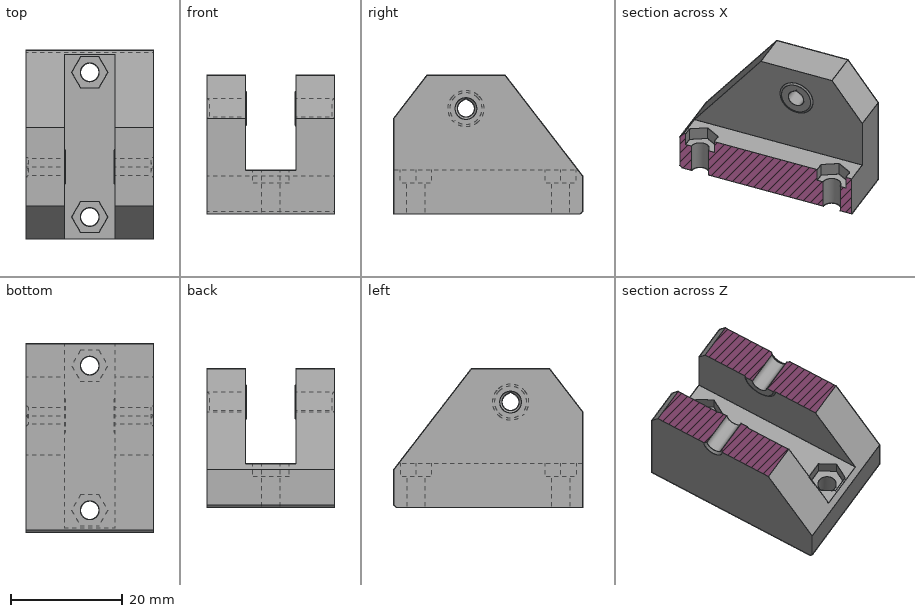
import cadquery as cq
import math

width = 23.0
length = 34.0
height = 25.0

front_run = 6.0
back_run = 13.97
slope_ratio = 1.3
toe_chamfer = 0.48

slot_width = 9.08
floor_height = 7.92

pivot_y = 13.0
pivot_z = 18.97
pivot_diameter = 3.03
pivot_tip_height = 1.77
mouth_diameter = 3.9
boss_base_diameter = 6.5
boss_face_diameter = 5.75
boss_height = 0.2

screw_front_y = 3.98
screw_pitch = 26.0
screw_diameter = 3.3
nut_flats = 5.65
nut_depth = 2.38


def make_body():
    """Side profile extruded across the width."""
    front_height = height - slope_ratio * front_run
    back_height = height - slope_ratio * back_run
    return (
        cq.Workplane("YZ")
        .moveTo(0, 0)
        .lineTo(length - toe_chamfer, 0)
        .lineTo(length, toe_chamfer)
        .lineTo(length, back_height)
        .lineTo(length - back_run, height)
        .lineTo(front_run, height)
        .lineTo(0, front_height)
        .close()
        .extrude(width / 2, both=True)
    )


def make_slot():
    """Full-length slot that leaves a cheek on each side."""
    return cq.Workplane("XY").box(
        slot_width, length, height - floor_height, centered=(True, False, False)
    ).translate((0, 0, floor_height))


def pivot_cone(start_x, direction, start_diameter, end_diameter, depth):
    """Truncated cone on the pivot axis, running along +X or -X."""
    return cq.Workplane(
        cq.Solid.makeCone(
            start_diameter / 2,
            end_diameter / 2,
            depth,
            pnt=cq.Vector(start_x, pivot_y, pivot_z),
            dir=cq.Vector(direction, 0, 0),
        )
    )


def make_pivot_bore():
    """Round bore with a pointed roof tangent to its sides."""
    radius = pivot_diameter / 2
    tangent_z = radius**2 / pivot_tip_height
    tangent_y = math.sqrt(radius**2 - tangent_z**2)
    return (
        cq.Workplane("YZ", origin=(0, pivot_y, pivot_z))
        .moveTo(-tangent_y, tangent_z)
        .threePointArc((0, -radius), (tangent_y, tangent_z))
        .lineTo(0, pivot_tip_height)
        .close()
        .extrude(width / 2, both=True)
    )


def make_screw_cut(y):
    """Through hole with a hexagonal nut pocket sunk into the slot floor."""
    nut_corners = nut_flats / math.cos(math.pi / 6)
    hole = cq.Workplane("XY").center(0, y).circle(screw_diameter / 2).extrude(floor_height)
    pocket = (
        cq.Workplane("XY", origin=(0, y, floor_height - nut_depth))
        .polygon(6, nut_corners)
        .extrude(nut_depth)
    )
    return hole.union(pocket)


result = make_body().cut(make_slot())

mouth_depth = (mouth_diameter - pivot_diameter) / 2
for side in (-1, 1):
    boss = pivot_cone(side * slot_width / 2, -side, boss_base_diameter, boss_face_diameter, boss_height)
    mouth = pivot_cone(side * width / 2, -side, mouth_diameter, pivot_diameter, mouth_depth)
    result = result.union(boss).cut(mouth)

result = result.cut(make_pivot_bore())

for screw_y in (screw_front_y, screw_front_y + screw_pitch):
    result = result.cut(make_screw_cut(screw_y))